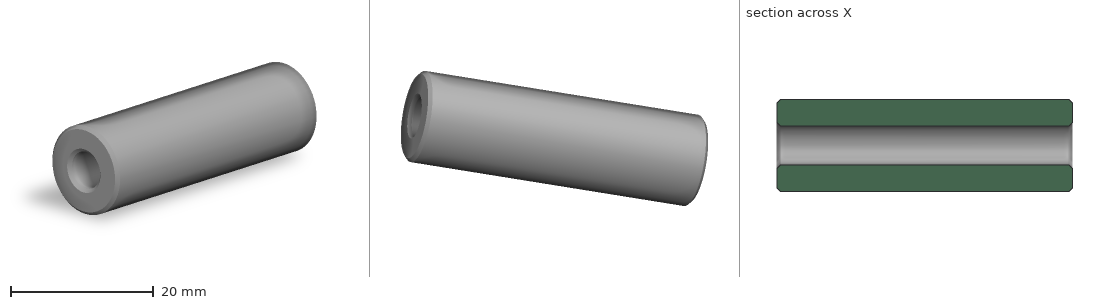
import cadquery as cq

length = 41.4
outer_diameter = 12.95
bore_diameter = 5.4

edge_chamfer = 0.5

tube = (
    cq.Workplane("XZ", origin=(0, length / 2, 0))
    .circle(outer_diameter / 2)
    .circle(bore_diameter / 2)
    .extrude(length)
)

result = tube.faces("<Y or >Y").edges().chamfer(edge_chamfer)